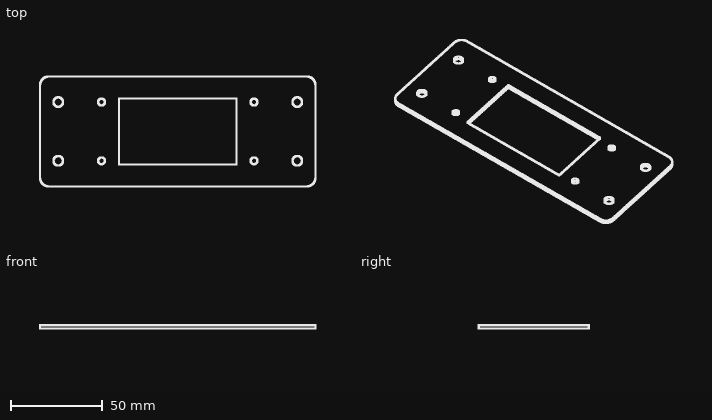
import cadquery as cq

length = 150.0
width = 60.0
thickness = 2.0
corner_radius = 5.0

window_length = 63.9
window_width = 35.8

row_spacing = 32.0
outer_hole_spacing = 130.0
outer_hole_diameter = 5.1
inner_hole_spacing = 83.0
inner_hole_diameter = 3.6


def cut_four_holes(body, spacing, diameter):
    """Cut a rectangular pattern of four through holes."""
    return (
        body.faces(">Z")
        .workplane(origin=(0, 0, thickness))
        .rect(spacing, row_spacing, forConstruction=True)
        .vertices()
        .hole(diameter)
    )


plate = (
    cq.Workplane("XY")
    .rect(length, width)
    .extrude(thickness)
    .edges("|Z")
    .fillet(corner_radius)
)
window = cq.Workplane("XY").rect(window_length, window_width).extrude(thickness)

result = plate.cut(window)
result = cut_four_holes(result, outer_hole_spacing, outer_hole_diameter)
result = cut_four_holes(result, inner_hole_spacing, inner_hole_diameter)